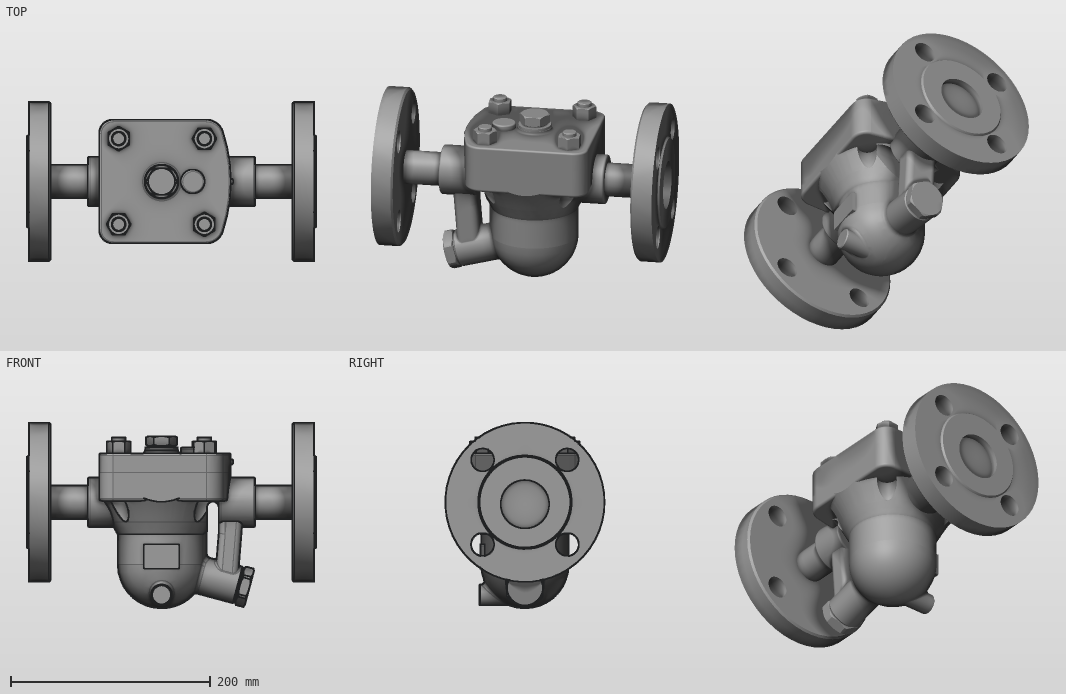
import cadquery as cq
import math


half_root_two = math.sqrt(0.5)
hex_bevel_angle = math.radians(30.0)

overall_length = 290.0
flange_dia = 160.0
flange_thickness = 22.0
flange_chamfer = 2.0
raised_face_height = 2.0
raised_face_base_dia = 94.0
raised_face_top_dia = 91.0
flange_bolt_circle = 120.0
flange_bolt_hole_dia = 23.0
flange_bolt_count = 4
flange_bolt_start_angle = 45.0
socket_dia = 48.6
socket_depth = 8.0
socket_drop = 2.0
pipe_dia = 34.0
collar_dia = 50.0
collar_end = 84.0
collar_fillet = 2.0

body_x = -10.0
cover_left = -72.7
cover_right = 59.6
cover_half_width = 62.2
cover_top = 49.0
split_z = 30.2
block_bottom = 1.2
block_bottom_right = 57.4
left_corner_radius = 14.0
right_corner_radius = 17.8
right_face_radius = 160.0
cover_top_fillet = 2.0
block_bottom_fillet = 3.0

bowl_radius = 44.0
bowl_bottom = -106.5
sphere_z = bowl_bottom + bowl_radius
cone_bottom_z = -32.4
cone_top_z = -19.6
cone_top_radius = 50.8
flare_mid = (56.6, -8.8)
flare_top = (65.0, 4.6)
pocket_radius = 10.0

slot_left = 35.8
slot_right = 47.3
slot_top = 0.6
pad_radius = 29.0
pad_front_x = 35.5
pad_bottom_z = sphere_z - 8.0

stud_count = 4
stud_offset = 43.0
stud_dia = 14.0
stud_top = 65.3
stud_chamfer = 0.7
nut_width = 21.0
nut_top = 61.4

plug_boss_base_dia = 38.5
plug_boss_dia = 34.0
plug_boss_top = 52.2
plug_washer_dia = 33.0
plug_washer_top = 55.0
plug_neck_dia = 24.0
plug_hex_width = 27.0
plug_hex_bottom = 56.4
plug_hex_top = 66.2
cover_boss_x = 21.3
cover_boss_dia = 24.0
cover_boss_top = 54.9
cover_boss_fillet = 1.7
pin_z = 40.4
pin_radius = 3.0
pin_tip_x = 62.2

plate_width = 36.0
plate_height = 24.5
plate_center_z = -54.4
plate_front = 44.6
plate_corner_radius = 1.5
drain_dia = 21.0
drain_z = -93.0
drain_front = 46.0
drain_root_fillet = 3.0
drain_rim_chamfer = 1.0

branch_tilt = 15.0
branch_dia = 38.0
branch_length = 80.0
branch_rim_chamfer = 1.0
branch_root_fillet = 4.0
gasket_dia = 33.0
strainer_hex_start = 81.3
strainer_hex_end = 91.3
strainer_hex_width = 36.0
strainer_hex_corner_dia = 40.0

leg_tilt = 4.6
leg_width = 23.0
leg_depth = 32.8
leg_corner_radius = 6.4
shoulder_fillet = 6.3
leg_center_x = 58.1
leg_center_z = -39.5
leg_bottom_z = -79.0
leg_top_z = -collar_dia / 4
leg_shoulder_z = -32.0
leg_root_fillet = 2.0


def sharp_corner_dia(width):
    """Diameter across the sharp corners of a hexagon of the given width across flats."""
    return width / math.cos(math.pi / 6)


def cylinder_x(x_start, x_end, dia):
    """Cylinder along the pipe axis."""
    return cq.Workplane("YZ", origin=(x_start, 0, 0)).circle(dia / 2).extrude(x_end - x_start)


def hexagon(width, corner_dia, height, bevelled_ends):
    """Hexagonal prism from z = 0, vertices toward X, inside a cylinder with 30 degree end bevels."""
    bevel_run = (corner_dia - width) / 2
    bevel_rise = bevel_run * math.tan(hex_bevel_angle)
    envelope = cq.Workplane("XY").circle(corner_dia / 2).extrude(height)
    envelope = envelope.faces(bevelled_ends).chamfer(bevel_rise, bevel_run)
    prism = cq.Workplane("XY").polygon(6, sharp_corner_dia(width)).extrude(height)
    return prism.intersect(envelope)


def flange_end():
    """Flange, raised face, pipe stub and socket at the -X end."""
    face_x = -overall_length / 2
    back_x = face_x + raised_face_height
    disc = cylinder_x(back_x, back_x + flange_thickness, flange_dia).faces(">X").chamfer(flange_chamfer)
    raised_face = (
        cq.Workplane("YZ", origin=(back_x, 0, 0))
        .circle(raised_face_base_dia / 2)
        .workplane(offset=-raised_face_height)
        .circle(raised_face_top_dia / 2)
        .loft(ruled=True)
    )
    pipe = cylinder_x(back_x + flange_thickness / 2, -collar_end + collar_fillet, pipe_dia)
    holes = (
        cq.Workplane("YZ", origin=(face_x, 0, 0))
        .polarArray(flange_bolt_circle / 2, flange_bolt_start_angle, 360, flange_bolt_count)
        .circle(flange_bolt_hole_dia / 2)
        .extrude(raised_face_height + flange_thickness)
    )
    socket = cylinder_x(face_x, face_x + socket_depth, socket_dia).translate((0, 0, -socket_drop))
    return disc.union(raised_face).union(pipe).cut(holes).cut(socket)


def block_outline(z, right):
    """Closed block outline: straight on three sides and bowed on the +X side.

    `right` is the crest of the bow; its ends stay where a bow cresting at cover_right is tangent
    to the corner arcs.
    """
    corner_y = cover_half_width - right_corner_radius
    bow_center_distance = right_face_radius - right_corner_radius
    bow_angle = math.asin(corner_y / bow_center_distance)
    corner_x = cover_right - right_face_radius + bow_center_distance * math.cos(bow_angle)
    mid_angle = (bow_angle + math.pi / 2) / 2
    join_x = corner_x + right_corner_radius * math.cos(bow_angle)
    join_y = corner_y + right_corner_radius * math.sin(bow_angle)
    mid_x = corner_x + right_corner_radius * math.cos(mid_angle)
    mid_y = corner_y + right_corner_radius * math.sin(mid_angle)
    left_arc_x = cover_left + left_corner_radius
    left_arc_y = cover_half_width - left_corner_radius
    left_mid_x = left_arc_x - left_corner_radius * half_root_two
    left_mid_y = left_arc_y + left_corner_radius * half_root_two
    return (
        cq.Workplane("XY", origin=(0, 0, z))
        .moveTo(left_arc_x, -cover_half_width)
        .lineTo(corner_x, -cover_half_width)
        .threePointArc((mid_x, -mid_y), (join_x, -join_y))
        .threePointArc((right, 0), (join_x, join_y))
        .threePointArc((mid_x, mid_y), (corner_x, cover_half_width))
        .lineTo(left_arc_x, cover_half_width)
        .threePointArc((left_mid_x, left_mid_y), (cover_left, left_arc_y))
        .lineTo(cover_left, -left_arc_y)
        .threePointArc((left_mid_x, -left_mid_y), (left_arc_x, -cover_half_width))
        .close()
    )


def body_flange():
    """Flange at the top of the body, whose bowed side leans inward toward the bottom."""
    lower_wire = block_outline(block_bottom, block_bottom_right).wire().val()
    upper_wire = block_outline(split_z, cover_right).wire().val()
    block = cq.Workplane(cq.Solid.makeLoft([lower_wire, upper_wire], True))
    return block.faces("<Z").edges().fillet(block_bottom_fillet)


def bowl():
    """Round-bottomed bowl flaring out to the body flange, with nut pockets and the outlet gap."""
    embed_z = split_z / 2
    sphere_mid = bowl_radius * half_root_two
    shell = (
        cq.Workplane("XZ")
        .moveTo(0, bowl_bottom)
        .threePointArc((sphere_mid, sphere_z - sphere_mid), (bowl_radius, sphere_z))
        .lineTo(bowl_radius, cone_bottom_z)
        .lineTo(cone_top_radius, cone_top_z)
        .threePointArc(flare_mid, flare_top)
        .lineTo(flare_top[0], embed_z)
        .lineTo(0, embed_z)
        .close()
        .revolve(360, (0, 0, 0), (0, 1, 0))
        .translate((body_x, 0, 0))
    )
    pad = (
        cq.Workplane("XY", origin=(pad_front_x - pad_radius, 0, pad_bottom_z))
        .circle(pad_radius)
        .extrude(cone_top_z - pad_bottom_z)
    )
    envelope = block_outline(bowl_bottom, block_bottom_right).extrude(embed_z - bowl_bottom)
    pockets = (
        cq.Workplane("XY", origin=(body_x, 0, cone_bottom_z))
        .rect(2 * stud_offset, 2 * stud_offset, forConstruction=True)
        .vertices()
        .circle(pocket_radius)
        .extrude(block_bottom - cone_bottom_z)
    )
    slot_radius = (slot_right - slot_left) / 2
    slot = (
        cq.Workplane("XZ")
        .moveTo(slot_left, bowl_bottom)
        .lineTo(slot_left, slot_top - slot_radius)
        .threePointArc((slot_left + slot_radius, slot_top), (slot_right, slot_top - slot_radius))
        .lineTo(slot_right, bowl_bottom)
        .close()
        .extrude(2 * cover_half_width, both=True)
    )
    beyond_gap = cq.Workplane("XY").box(
        collar_end,
        2 * cover_half_width,
        slot_top - slot_radius - bowl_bottom,
        centered=(False, True, False),
    ).translate((slot_right, 0, bowl_bottom))
    return shell.union(pad).intersect(envelope).cut(pockets).cut(slot).cut(beyond_gap)


def along_branch(shape):
    """Move a shape built along +Z from the origin onto the branch axis."""
    turned = shape.rotate((0, 0, 0), (0, 1, 0), 90 + branch_tilt)
    return turned.translate((body_x, 0, sphere_z))


def leg():
    """Tilted leg, with an upright shoulder flush with the inner end of the outlet collar."""
    tilted = (
        cq.Workplane("XY", origin=(0, 0, leg_bottom_z - leg_center_z))
        .rect(leg_width, leg_depth)
        .extrude(leg_top_z - leg_bottom_z)
        .edges("|Z")
        .fillet(leg_corner_radius)
        .rotate((0, 0, 0), (0, 1, 0), leg_tilt)
        .translate((leg_center_x, 0, leg_center_z))
    )
    shoulder = (
        cq.Workplane("XY", origin=(slot_right + leg_corner_radius, 0, leg_shoulder_z))
        .rect(2 * leg_corner_radius, leg_depth)
        .extrude(-leg_shoulder_z)
        .edges("|Z")
        .fillet(shoulder_fillet)
    )
    return tilted.union(shoulder)


def drain_boss():
    """Blind boss facing -Y near the bottom of the bowl."""
    boss = cq.Workplane("XZ", origin=(body_x, 0, drain_z)).circle(drain_dia / 2).extrude(drain_front)
    return boss.faces("<Y").chamfer(drain_rim_chamfer)


def name_plate():
    """Rounded rectangular pad on the -Y side of the bowl."""
    plate = cq.Workplane("XZ", origin=(body_x, 0, plate_center_z)).rect(plate_width, plate_height)
    return plate.extrude(plate_front).edges("|Y").fillet(plate_corner_radius)


def strainer_plug():
    """Gasket and hexagonal plug closing the branch."""
    gasket = cq.Workplane("XY", origin=(0, 0, branch_length)).circle(gasket_dia / 2)
    gasket = gasket.extrude(strainer_hex_start - branch_length)
    head = hexagon(
        strainer_hex_width,
        strainer_hex_corner_dia,
        strainer_hex_end - strainer_hex_start,
        "<Z or >Z",
    )
    return along_branch(gasket.union(head.translate((0, 0, strainer_hex_start))))


def stud_nuts():
    """Four studs with nuts, each nut turned with its position around the bowl axis."""
    nut = hexagon(nut_width, sharp_corner_dia(nut_width), nut_top - cover_top, ">Z")
    nut = nut.translate((0, 0, cover_top))
    stud = cq.Workplane("XY", origin=(0, 0, cover_top)).circle(stud_dia / 2)
    stud = stud.extrude(stud_top - cover_top)
    fastener = nut.union(stud.faces(">Z").chamfer(stud_chamfer))
    placed = cq.Workplane("XY")
    corner = fastener.translate((-stud_offset, -stud_offset, 0))
    for turn in range(stud_count):
        placed = placed.union(corner.rotate((0, 0, 0), (0, 0, 1), 360 / stud_count * turn))
    return placed.translate((body_x, 0, 0))


def cover_plug():
    """Plug on the cover: coved boss, washer, neck and hexagon head."""
    cove = (plug_boss_base_dia - plug_boss_dia) / 2
    turned = (
        cq.Workplane("XZ")
        .moveTo(0, cover_top)
        .lineTo(plug_boss_base_dia / 2, cover_top)
        .radiusArc((plug_boss_dia / 2, cover_top + cove), cove)
        .lineTo(plug_boss_dia / 2, plug_boss_top)
        .lineTo(plug_washer_dia / 2, plug_boss_top)
        .lineTo(plug_washer_dia / 2, plug_washer_top)
        .lineTo(plug_neck_dia / 2, plug_washer_top)
        .lineTo(plug_neck_dia / 2, plug_hex_bottom)
        .lineTo(0, plug_hex_bottom)
        .close()
        .revolve(360, (0, 0, 0), (0, 1, 0))
    )
    head = hexagon(
        plug_hex_width,
        sharp_corner_dia(plug_hex_width),
        plug_hex_top - plug_hex_bottom,
        "<Z or >Z",
    )
    return turned.union(head.translate((0, 0, plug_hex_bottom))).translate((body_x, 0, 0))


def cover_boss():
    """Low round boss beside the plug."""
    boss = cq.Workplane("XY", origin=(cover_boss_x, 0, cover_top)).circle(cover_boss_dia / 2)
    return boss.extrude(cover_boss_top - cover_top).faces(">Z").edges().fillet(cover_boss_fillet)


def cover_pin():
    """Small domed pin on the bowed side of the cover."""
    return cq.Workplane("XY").sphere(pin_radius).translate((pin_tip_x - pin_radius, 0, pin_z))


def cover_assembly():
    """Cover plate with its plug, boss, pin, studs and nuts."""
    plate = block_outline(split_z, cover_right).extrude(cover_top - split_z)
    plate = plate.faces(">Z").edges().fillet(cover_top_fillet)
    return plate.union(cover_pin()).union(cover_boss()).union(cover_plug()).union(stud_nuts())


def fillet_between(shape, corner, opposite_corner, radius):
    """Round the edges whose centres lie in the box spanned by two opposite corners."""
    return shape.edges(cq.selectors.BoxSelector(corner, opposite_corner)).fillet(radius)


def bowl_with_drain():
    """Bowl and drain boss with a rounded root."""
    radius = drain_dia / 2
    return fillet_between(
        bowl().union(drain_boss()),
        (body_x - radius, -bowl_radius, drain_z - radius),
        (body_x + radius, -radius, drain_z + radius),
        drain_root_fillet,
    )


def branch_with_leg():
    """Inclined branch and the leg standing on it, with a rounded root."""
    barrel = cq.Workplane("XY").circle(branch_dia / 2).extrude(branch_length)
    branch = along_branch(barrel.faces(">Z").chamfer(branch_rim_chamfer))
    leg_foot_half_length = leg_width / 2 + leg_root_fillet
    leg_foot_top = sphere_z + leg_corner_radius
    return fillet_between(
        branch.union(leg()),
        (leg_center_x - leg_foot_half_length, -branch_dia / 2, leg_bottom_z),
        (leg_center_x + leg_foot_half_length, branch_dia / 2, leg_foot_top),
        leg_root_fillet,
    )


def castings():
    """Bowl, drain, branch and leg, with the branch root rounded."""
    root_start_x = body_x + bowl_radius * half_root_two
    root_top_z = sphere_z + leg_corner_radius + branch_root_fillet
    return fillet_between(
        bowl_with_drain().union(branch_with_leg()),
        (root_start_x, -branch_dia / 2, drain_z),
        ((slot_left + slot_right) / 2, branch_dia / 2, root_top_z),
        branch_root_fillet,
    )


left_end = flange_end()
right_end = left_end.mirror("YZ")
inlet_collar = cylinder_x(-collar_end, body_x, collar_dia).faces("<X").edges().fillet(collar_fillet)
outlet_collar = cylinder_x(slot_right, collar_end, collar_dia).edges().fillet(collar_fillet)

result = castings().union(name_plate()).union(strainer_plug())
result = result.union(inlet_collar).union(outlet_collar)
result = result.union(left_end).union(right_end)
result = result.union(body_flange())

result = result.union(cover_assembly(), clean=False)